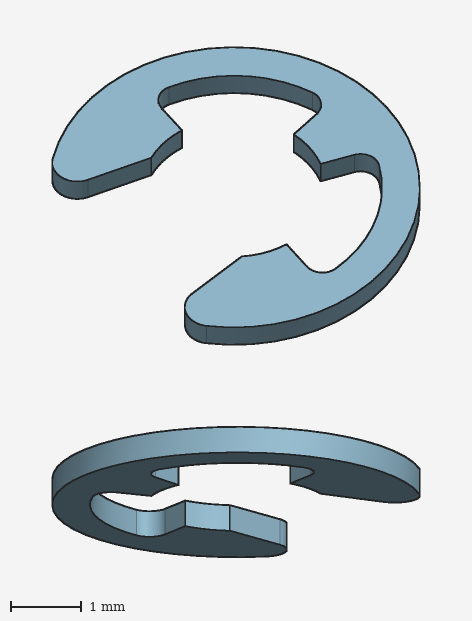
import cadquery as cq
import math

outer_radius = 2.63
thickness = 0.38
shaft_radius = 1.3
relief_radius = 2.095
relief_corner_radius = 0.27
tab_half_angle = 15.0
prong_angle = 30.0
mouth_flare = 10.0
prong_tip_radius = 0.36


def polar(radius, angle):
    """Point at a radius and an angle in degrees from +X."""
    a = math.radians(angle)
    return (radius * math.cos(a), radius * math.sin(a))


def distance_from_axis(edge):
    center = edge.Center()
    return math.hypot(center.x, center.y)


def relief_pocket():
    """Wedge between a prong and the top tab, rounded at its outer corners."""
    end_angle = 90 - tab_half_angle
    wedge = (
        cq.Workplane("XY")
        .lineTo(relief_radius, 0)
        .threePointArc(polar(relief_radius, end_angle / 2), polar(relief_radius, end_angle))
        .close()
        .extrude(thickness)
    )
    outer_corners = wedge.edges("|Z").filter(lambda e: distance_from_axis(e) > shaft_radius)
    return outer_corners.fillet(relief_corner_radius)


def mouth():
    """Flared opening that runs from the prong corners out through -Y."""
    top_x, top_y = polar(shaft_radius, -prong_angle)
    bottom_y = -outer_radius
    bottom_x = top_x + (top_y - bottom_y) * math.tan(math.radians(mouth_flare))
    outline = [
        (0, 0),
        (top_x, top_y),
        (bottom_x, bottom_y),
        (-bottom_x, bottom_y),
        (-top_x, top_y),
    ]
    return cq.Workplane("XY").polyline(outline).close().extrude(thickness)


ring = cq.Workplane("XY").circle(outer_radius).circle(shaft_radius).extrude(thickness)
ring = ring.cut(mouth())

prong_tips = ring.edges("|Z").filter(
    lambda e: e.Center().y < -shaft_radius and distance_from_axis(e) > relief_radius
)
ring = prong_tips.fillet(prong_tip_radius)

pocket = relief_pocket()
result = ring.cut(pocket).cut(pocket.mirror("YZ"))